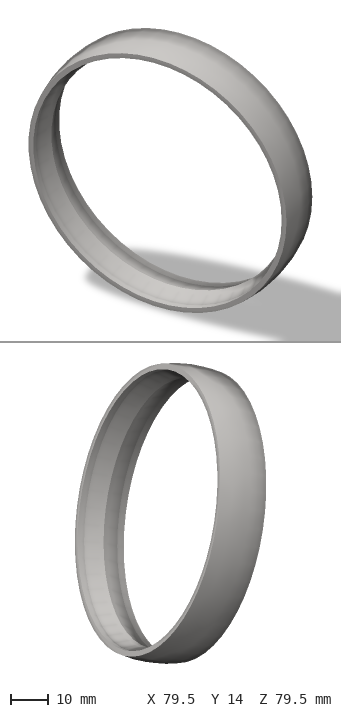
import cadquery as cq

width = 14.0
crown_radius = 39.75
rim_radius = 38.95
mouth_diameter = 75.0
waist_radius = 35.9
mouth_depth = 2.0

mouth_radius = mouth_diameter / 2
front = -width / 2
back = width / 2

section = (
    cq.Workplane("XY")
    .moveTo(mouth_radius, front)
    .lineTo(rim_radius, front)
    .threePointArc((crown_radius, 0), (rim_radius, back))
    .lineTo(mouth_radius, back)
    .lineTo(mouth_radius, back - mouth_depth)
    .lineTo(waist_radius, 0)
    .lineTo(mouth_radius, front + mouth_depth)
    .close()
)

result = section.revolve(360, (0, 0, 0), (0, 1, 0))